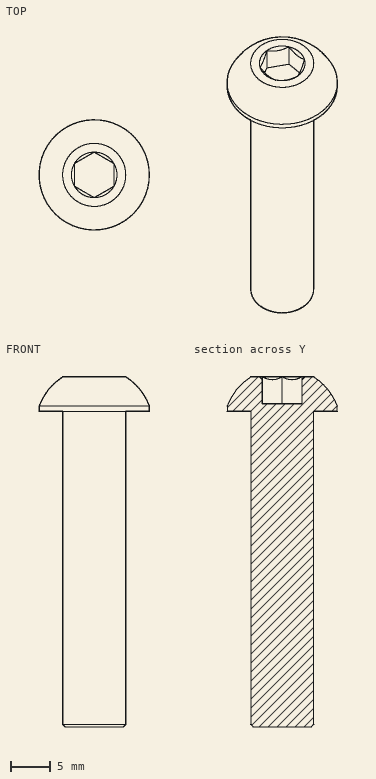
import cadquery as cq
import math

shank_diameter = 8.0
shank_length = 40.0
tip_chamfer = 0.3

head_diameter = 14.0
head_height = 4.4
head_rim_height = 0.7
head_flat_diameter = 8.0

hex_across_flats = 5.0
hex_depth = 3.4
countersink_angle = 90.0

hex_sides = 6
hex_across_corners = hex_across_flats / math.cos(math.pi / hex_sides)


def make_shank():
    """Plain cylinder with a chamfered tip."""
    shank = cq.Workplane("XY").circle(shank_diameter / 2).extrude(-shank_length)
    return shank.faces("<Z").chamfer(tip_chamfer)


def make_head():
    """Short cylindrical rim under a spherical dome with a flat top."""
    rim_radius = head_diameter / 2
    flat_radius = head_flat_diameter / 2

    dome_height = head_height - head_rim_height
    centre_z = (head_height**2 - head_rim_height**2 + flat_radius**2 - rim_radius**2) / (2 * dome_height)
    sphere_radius = math.hypot(rim_radius, head_rim_height - centre_z)
    mid_radius = (rim_radius + flat_radius) / 2
    mid_z = centre_z + math.sqrt(sphere_radius**2 - mid_radius**2)

    profile = (
        cq.Workplane("XZ")
        .lineTo(rim_radius, 0)
        .lineTo(rim_radius, head_rim_height)
        .threePointArc((mid_radius, mid_z), (flat_radius, head_height))
        .lineTo(0, head_height)
        .close()
    )
    return profile.revolve(360, (0, 0, 0), (0, 1, 0))


def make_socket():
    """Hexagonal recess with two corners in the YZ plane and a conical lead-in at its mouth."""
    hexagon = (
        cq.Workplane("XY", origin=(0, 0, head_height - hex_depth))
        .transformed(rotate=(0, 0, 90))
        .polygon(hex_sides, hex_across_corners)
        .extrude(hex_depth)
    )

    mouth_radius = hex_across_corners / 2
    cone_depth = mouth_radius / math.tan(math.radians(countersink_angle / 2))
    mouth_centre = cq.Vector(0, 0, head_height)
    lead_in = cq.Solid.makeCone(mouth_radius, 0, cone_depth, mouth_centre, cq.Vector(0, 0, -1))
    return hexagon.union(cq.Workplane(lead_in))


result = make_head().union(make_shank()).cut(make_socket())